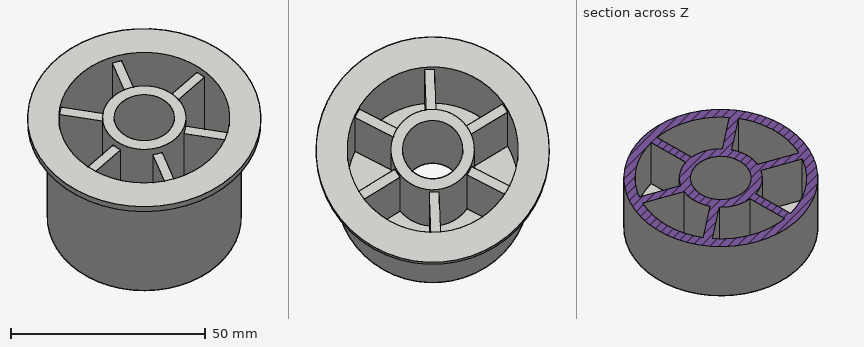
import cadquery as cq

flange_diameter = 60.0
total_height = 43.0
flange_thickness = 2.0

cup_diameter = 50.0
cavity_diameter = 44.0
wall_thickness = (cup_diameter - cavity_diameter) / 2
floor_thickness = wall_thickness

hub_diameter = 21.4
bore_diameter = 15.5
hub_projection = 3.65

rib_count = 6
rib_thickness = 2.5
rib_top_recess = 2.4
first_rib_angle = 15.0

cup_bottom = hub_projection
floor_top = cup_bottom + floor_thickness
rib_top = total_height - rib_top_recess


def cylinder(diameter, bottom, top):
    """Upright cylinder on the Z axis between two heights."""
    return cq.Workplane("XY").workplane(offset=bottom).circle(diameter / 2).extrude(top - bottom)


def rib(angle):
    """Radial rib standing on the floor, with its ends embedded in the hub and the cup wall."""
    inner_radius = (hub_diameter + bore_diameter) / 4
    outer_radius = (cavity_diameter + cup_diameter) / 4
    return (
        cq.Workplane("XY")
        .workplane(offset=cup_bottom)
        .center((inner_radius + outer_radius) / 2, 0)
        .rect(outer_radius - inner_radius, rib_thickness)
        .extrude(rib_top - cup_bottom)
        .rotate((0, 0, 0), (0, 0, 1), angle)
    )


cup = cylinder(cup_diameter, cup_bottom, total_height)
flange = cylinder(flange_diameter, total_height - flange_thickness, total_height)
cavity = cylinder(cavity_diameter, floor_top, total_height)
body = cup.union(flange).cut(cavity)

body = body.union(cylinder(hub_diameter, 0, total_height))
for index in range(rib_count):
    body = body.union(rib(first_rib_angle + index * 360 / rib_count))

result = body.cut(cylinder(bore_diameter, 0, total_height))